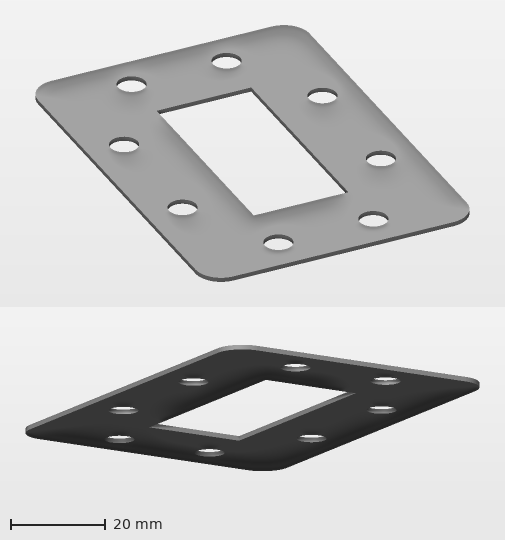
import cadquery as cq

LENGTH = 88.9
WIDTH = 63.5
THICKNESS = 1.0
CORNER_RADIUS = 6.0

WINDOW_LENGTH = 47.55
WINDOW_WIDTH = 22.15

HOLE_DIAMETER = 6.35
LONG_EDGE_HOLE_SPACING = 28.58
LONG_EDGE_ROW_DISTANCE = 46.43
SHORT_EDGE_HOLE_SPACING = 22.23
SHORT_EDGE_ROW_DISTANCE = 71.83


def make_plate():
    """Flat plate with rounded corners, its bottom face on Z = 0."""
    plate = cq.Workplane("XY").box(LENGTH, WIDTH, THICKNESS, centered=(True, True, False))
    return plate.edges("|Z").fillet(CORNER_RADIUS)


def cut_window(plate):
    """Cut the sharp-cornered rectangular opening."""
    return plate.faces(">Z").workplane().rect(WINDOW_LENGTH, WINDOW_WIDTH).cutThruAll()


def drill_holes(plate, spacing_x, spacing_y):
    """Drill one through hole at each corner of a centred rectangle."""
    corners = plate.faces(">Z").workplane().rect(spacing_x, spacing_y, forConstruction=True).vertices()
    return corners.hole(HOLE_DIAMETER)


result = make_plate()
result = cut_window(result)
result = drill_holes(result, LONG_EDGE_HOLE_SPACING, LONG_EDGE_ROW_DISTANCE)
result = drill_holes(result, SHORT_EDGE_ROW_DISTANCE, SHORT_EDGE_HOLE_SPACING)